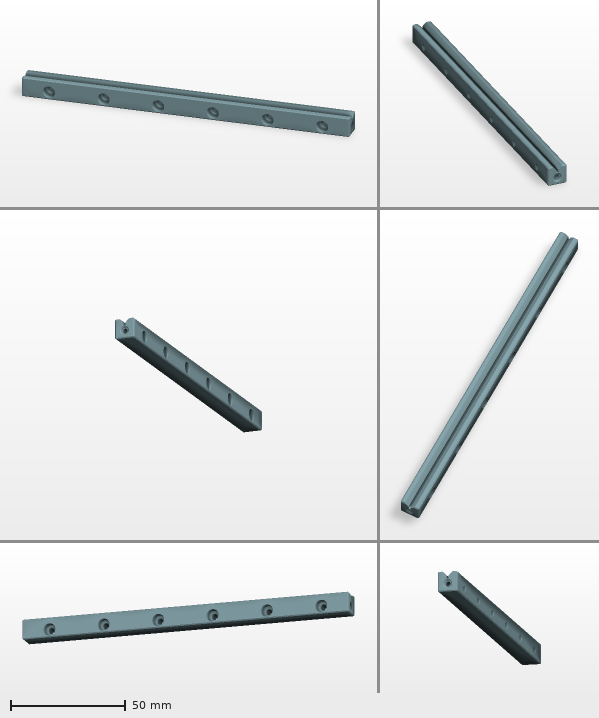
import cadquery as cq
import math

LENGTH = 150.0
WIDTH = 9.0
HEIGHT = 9.0
EDGE_CHAMFER = 0.46

RACEWAY_WIDTH = 4.65
SLOT_WIDTH = 1.1
SLOT_FLOOR_Z = 5.65

HOLE_Z = 3.5
HOLE_COUNT = 6
HOLE_PITCH = 25.0
HOLE_DIAMETER = 2.65
HOLE_COUNTERSINK_DIAMETER = 3.2
COUNTERBORE_DIAMETER = 5.5
COUNTERBORE_DEPTH = 2.8

END_HOLE_DIAMETER = 2.26
END_HOLE_MOUTH_DIAMETER = 3.2
END_HOLE_MOUTH_DEPTH = 1.0
END_HOLE_COUNTERSINK_DIAMETER = 4.2
END_HOLE_DEPTH = 6.0
DRILL_POINT_ANGLE = 118.0


def make_body():
    block = cq.Workplane("XY").box(LENGTH, WIDTH, HEIGHT, centered=(True, True, False))
    return block.edges().chamfer(EDGE_CHAMFER)


def make_raceway():
    mouth = RACEWAY_WIDTH / 2
    slot = SLOT_WIDTH / 2
    flank_end_z = HEIGHT - (mouth - slot)
    outline = [
        (-mouth, HEIGHT),
        (-slot, flank_end_z),
        (-slot, SLOT_FLOOR_Z),
        (slot, SLOT_FLOOR_Z),
        (slot, flank_end_z),
        (mouth, HEIGHT),
    ]
    return cq.Workplane("YZ").polyline(outline).close().extrude(LENGTH / 2, both=True)


def make_mounting_hole(x):
    """Counterbore on the -Y face, with 45 degree countersinks at both mouths of the bore."""
    bore = HOLE_DIAMETER / 2
    countersink = HOLE_COUNTERSINK_DIAMETER / 2
    counterbore = COUNTERBORE_DIAMETER / 2
    countersink_depth = countersink - bore
    front = -WIDTH / 2
    back = WIDTH / 2
    shoulder = front + COUNTERBORE_DEPTH
    half_section = [
        (0, front),
        (counterbore, front),
        (counterbore, shoulder),
        (countersink, shoulder),
        (bore, shoulder + countersink_depth),
        (bore, back - countersink_depth),
        (countersink, back),
        (0, back),
    ]
    section = cq.Workplane("XY", origin=(x, 0, HOLE_Z)).polyline(half_section).close()
    return section.revolve(360, (0, 0, 0), (0, 1, 0))


def make_end_hole():
    """Stepped hole in the -X end face with a 45 degree countersink and a conical bottom."""
    bore = END_HOLE_DIAMETER / 2
    mouth = END_HOLE_MOUTH_DIAMETER / 2
    countersink = END_HOLE_COUNTERSINK_DIAMETER / 2
    point_length = bore / math.tan(math.radians(DRILL_POINT_ANGLE / 2))
    half_section = [
        (0, 0),
        (0, countersink),
        (countersink - mouth, mouth),
        (END_HOLE_MOUTH_DEPTH, mouth),
        (END_HOLE_MOUTH_DEPTH, bore),
        (END_HOLE_DEPTH, bore),
        (END_HOLE_DEPTH + point_length, 0),
    ]
    section = cq.Workplane("XY", origin=(-LENGTH / 2, 0, HOLE_Z)).polyline(half_section).close()
    return section.revolve(360, (0, 0, 0), (1, 0, 0))


result = make_body().cut(make_raceway())

first_hole_x = -HOLE_PITCH * (HOLE_COUNT - 1) / 2
for index in range(HOLE_COUNT):
    result = result.cut(make_mounting_hole(first_hole_x + index * HOLE_PITCH))

end_hole = make_end_hole()
result = result.cut(end_hole).cut(end_hole.mirror("YZ"))